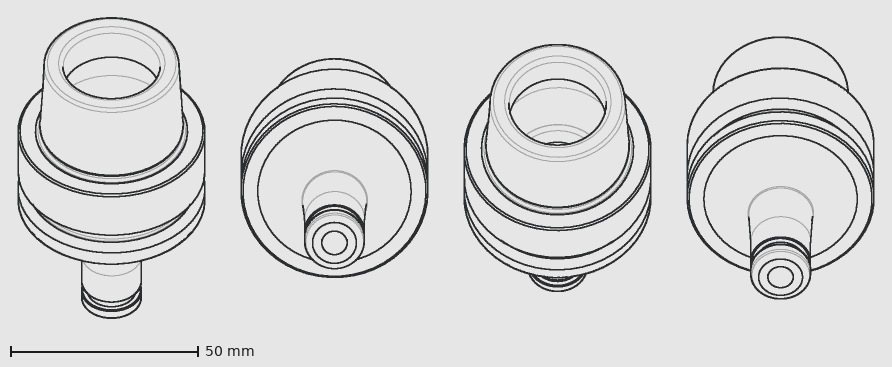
import cadquery as cq
import math

total_height = 88.0
taper_foot_z = 64.9
taper_foot_radius = 38.4 / 2
taper_slope = 1 / 20
taper_top_fillet = 0.9
relief_radius = 38.0 / 2
relief_top_z = 64.3
relief_fillet = 0.7
face_recess_radius = 40.7 / 2
face_recess_depth = 0.2

flange_radius = 50.0 / 2
flange_bottom_z = 37.05
flange_top_z = 63.0
flange_chamfer = 0.5
groove_radius = 43.0 / 2
groove_bottom_z = 43.2
groove_top_z = 46.8
groove_fillet = 0.4
groove_mouth_radius = 44.9 / 2
flank_slope = math.tan(math.radians(30))

cone_top_radius = 41.0 / 2
shank_top_z = 30.1
shank_top_radius = 17.2 / 2
shank_top_fillet = 0.4
shank_radius = 16.0 / 2
shank_taper_end_z = 17.1

neck_radius = 13.0 / 2
neck_top_z = 7.0
neck_bottom_z = 4.1
neck_edge_chamfer = 0.3
tip_height = 1.2
tip_fillet = 0.6

bore_radius = 26.0 / 2
bore_floor_z = 52.6
bore_mouth_fillet = 1.2
bore_floor_fillet = 1.1
clamp_groove_radius = 32.0 / 2
clamp_groove_top_z = 77.8
clamp_groove_bottom_z = 68.2
clamp_flank_slope = math.tan(math.radians(78))
socket_radius = 15.0 / 2
socket_mouth_radius = 16.4 / 2
socket_floor_z = 42.2
through_hole_radius = 6.8 / 2

taper_top_radius = taper_foot_radius - taper_slope * (total_height - taper_foot_z)
face_recess_z = flange_top_z - face_recess_depth
groove_flank_height = (flange_radius - groove_mouth_radius) * flank_slope
tip_radius = shank_radius - tip_height / flank_slope
clamp_flank_height = (clamp_groove_radius - bore_radius) * clamp_flank_slope
socket_chamfer_z = bore_floor_z - (socket_mouth_radius - socket_radius)


def revolve_profile(points):
    """Solid of revolution about Z, from (radius, z) points."""
    return cq.Workplane("XZ").polyline(points).close().revolve(360, (0, 0, 0), (0, 1, 0))


def round_edge(body, radius, z, fillet):
    """Fillet the circular edge that has the given radius and height."""
    tolerance = 0.01
    edges = body.edges("%CIRCLE").filter(
        lambda edge: abs(edge.radius() - radius) < tolerance
        and abs(edge.Center().z - z) < tolerance
    )
    return edges.fillet(fillet)


def make_outside():
    """Solid outer shape, listed from the tip up to the top of the taper."""
    body = revolve_profile([
        (0, 0),
        (tip_radius, 0),
        (shank_radius, tip_height),
        (shank_radius, neck_bottom_z - neck_edge_chamfer),
        (shank_radius - neck_edge_chamfer, neck_bottom_z),
        (neck_radius, neck_bottom_z),
        (neck_radius, neck_top_z),
        (shank_radius - neck_edge_chamfer, neck_top_z),
        (shank_radius, neck_top_z + neck_edge_chamfer),
        (shank_radius, shank_taper_end_z),
        (shank_top_radius, shank_top_z),
        (cone_top_radius, flange_bottom_z),
        (flange_radius - flange_chamfer, flange_bottom_z),
        (flange_radius, flange_bottom_z + flange_chamfer),
        (flange_radius, groove_bottom_z - groove_flank_height),
        (groove_mouth_radius, groove_bottom_z),
        (groove_radius, groove_bottom_z),
        (groove_radius, groove_top_z),
        (groove_mouth_radius, groove_top_z),
        (flange_radius, groove_top_z + groove_flank_height),
        (flange_radius, flange_top_z - flange_chamfer),
        (flange_radius - flange_chamfer, flange_top_z),
        (face_recess_radius, flange_top_z),
        (face_recess_radius, face_recess_z),
        (relief_radius, face_recess_z),
        (relief_radius, relief_top_z),
        (taper_foot_radius, taper_foot_z),
        (taper_top_radius, total_height),
        (0, total_height),
    ])
    body = round_edge(body, shank_radius, tip_height, tip_fillet)
    body = round_edge(body, shank_top_radius, shank_top_z, shank_top_fillet)
    for z in (groove_bottom_z, groove_top_z):
        body = round_edge(body, groove_radius, z, groove_fillet)
    body = round_edge(body, relief_radius, face_recess_z, relief_fillet)
    return round_edge(body, taper_top_radius, total_height, taper_top_fillet)


def make_cavity():
    """Space removed from the inside: bore, clamping groove, socket and through hole."""
    cavity = revolve_profile([
        (0, 0),
        (through_hole_radius, 0),
        (through_hole_radius, socket_floor_z),
        (socket_radius, socket_floor_z),
        (socket_radius, socket_chamfer_z),
        (socket_mouth_radius, bore_floor_z),
        (bore_radius, bore_floor_z),
        (bore_radius, clamp_groove_bottom_z - clamp_flank_height),
        (clamp_groove_radius, clamp_groove_bottom_z),
        (clamp_groove_radius, clamp_groove_top_z),
        (bore_radius, clamp_groove_top_z),
        (bore_radius, total_height),
        (0, total_height),
    ])
    return round_edge(cavity, bore_radius, bore_floor_z, bore_floor_fillet)


body = make_outside().cut(make_cavity())
result = round_edge(body, bore_radius, total_height, bore_mouth_fillet)